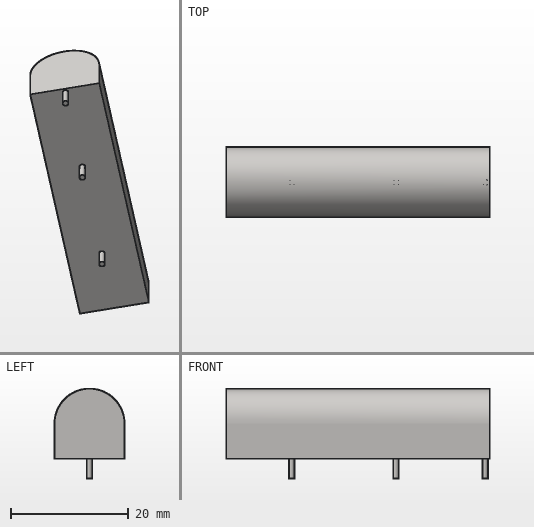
import cadquery as cq

length = 45.0
width = 12.0
radius = width / 2
base_height = radius

pin_diameter = 1.0
pin_length = 3.38
end_pin_inset = 0.8
pin_gap_right = 15.2
pin_gap_left = 17.78

last_pin_x = length - end_pin_inset
middle_pin_x = last_pin_x - pin_gap_right
first_pin_x = middle_pin_x - pin_gap_left


def make_body():
    """Arched profile extruded along X, with its underside at Z = 0."""
    return (
        cq.Workplane("YZ")
        .moveTo(-radius, 0)
        .lineTo(radius, 0)
        .lineTo(radius, base_height)
        .threePointArc((0, base_height + radius), (-radius, base_height))
        .close()
        .extrude(length)
    )


def make_pins():
    """Round pins hanging below the underside."""
    pin_centres = [(x, 0) for x in (first_pin_x, middle_pin_x, last_pin_x)]
    return (
        cq.Workplane("XY")
        .pushPoints(pin_centres)
        .circle(pin_diameter / 2)
        .extrude(-pin_length)
    )


result = make_body().union(make_pins())